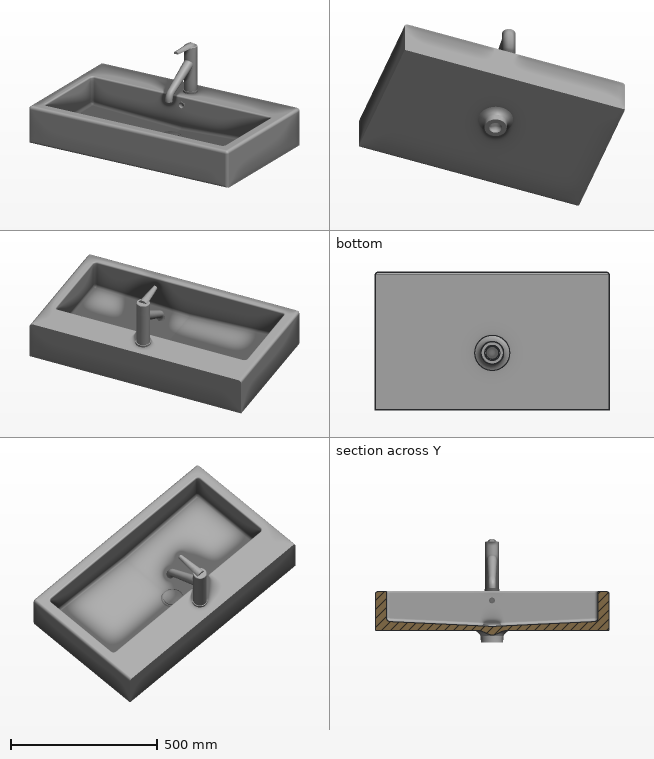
import cadquery as cq
import math


WIDTH = 800.0
DEPTH = 470.0
HEIGHT = 135.0
EDGE_RADIUS = 10.0
BOTTOM_RADIUS = 8.0

BOWL_WIDTH = 720.0
BOWL_DEPTH = 310.0
BOWL_BACK_Y = -120.0
FLOOR_Z = 16.0
FLOOR_SLOPE = math.radians(2.7)
BOWL_CORNER_RADIUS = 10.0
FLOOR_RADIUS = 10.0
RIM_RADIUS = 6.0

COLLAR_DROP = 41.0
COLLAR_SEAM_Z = -18.0
COLLAR_TOP_DIAMETER = 120.0
COLLAR_DIAMETER = 78.0
COLLAR_FLARE_POINT = (47.0, -7.0)
COLLAR_END_DIAMETER = 76.0

DRAIN_Y = -194.0
DRAIN_HOLE_DIAMETER = 52.0
DRAIN_BORE_DIAMETER = 44.0
FLANGE_DIAMETER = 77.0
FLANGE_TOP_DIAMETER = 69.0
FLANGE_TOP_Z = FLOOR_Z + 2.0
PLUG_DIAMETER = 60.0
PLUG_EDGE = 3.0
PLUG_DOME = 3.0

OVERFLOW_Z = 103.0
OVERFLOW_RING_DIAMETER = 28.0
OVERFLOW_TUBE_DIAMETER = 25.0
OVERFLOW_BORE_DIAMETER = 20.0
OVERFLOW_RING_THICKNESS = 2.0
OVERFLOW_HOLE_DEPTH = 16.0

FAUCET_Y = -62.0
BASE_DIAMETER = 52.0
BASE_HEIGHT = 7.0
COLUMN_DIAMETER = 46.0
COLUMN_TOP_Z = HEIGHT + 128.0
SPOUT_ANGLE = math.radians(30)
SPOUT_ROOT_DIAMETER = 38.0
SPOUT_DIAMETER = 26.0
SPOUT_ROOT_REACH = -10.0
BEND_REACH = 127.0
BEND_Z = HEIGHT + 41.0
BEND_RADIUS = 29.0
SPOUT_END_Z = HEIGHT + 13.0
AERATOR_DIAMETER = 25.0
AERATOR_DROP = 2.0
AERATOR_LENGTH = 6.0
SPOUT_DIRECTION = (0, -math.cos(SPOUT_ANGLE), -math.sin(SPOUT_ANGLE))
BEND_POINT = (0, FAUCET_Y - BEND_REACH, BEND_Z)
SPOUT_END_Y = FAUCET_Y - BEND_REACH - BEND_RADIUS * (1 - math.sin(SPOUT_ANGLE))

HANDLE_TOP_Z = HEIGHT + 169.0
HANDLE_CHAMFER = 2.0
LEVER_HEIGHT = 10.0
LEVER_BACK_Y = FAUCET_Y + 5.0
LEVER_TAPER_Y = FAUCET_Y - 3.0
LEVER_TIP_Y = FAUCET_Y - 95.0
LEVER_ROOT_DIAMETER = 35.0
LEVER_TIP_DIAMETER = 16.0


def cylinder_z(diameter, y, z_low, z_high):
    """Upright cylinder on the middle plane X = 0."""
    return cq.Workplane("XY", origin=(0, y, z_low)).circle(diameter / 2).extrude(z_high - z_low)


def cylinder_y(diameter, z, y_start, length):
    """Cylinder on X = 0 that runs toward the front from y_start."""
    return cq.Workplane("XZ", origin=(0, y_start, z)).circle(diameter / 2).extrude(length)


def turned(points, y):
    """Solid of revolution about the vertical through (0, y), from (radius, z) points."""
    profile = cq.Workplane("XZ", origin=(0, y, 0)).polyline(points).close()
    return profile.revolve(360, (0, 0, 0), (0, 1, 0))


def make_block():
    """Block with rounded front corners and a rounded front lower edge that meet in mitres."""
    block = cq.Workplane("XY").box(WIDTH, DEPTH, HEIGHT, centered=(True, False, False))
    block = block.translate((0, -DEPTH, 0))
    corners = block.faces("<Y").edges("|Z").fillet(EDGE_RADIUS)
    lower_edge = block.faces("<Z").edges("<Y").fillet(BOTTOM_RADIUS)
    return corners.intersect(lower_edge).faces(">Z").edges("not >Y").fillet(EDGE_RADIUS)


def make_bowl():
    """Hollow of the bowl, with a floor that falls from both ends to the middle."""
    half = BOWL_WIDTH / 2
    floor_end_z = FLOOR_Z + half * math.tan(FLOOR_SLOPE)
    section = [(-half, HEIGHT), (-half, floor_end_z), (0, FLOOR_Z), (half, floor_end_z), (half, HEIGHT)]
    bowl = cq.Workplane("XZ", origin=(0, BOWL_BACK_Y, 0)).polyline(section).close().extrude(BOWL_DEPTH)
    bowl = bowl.edges("|Z").fillet(BOWL_CORNER_RADIUS)
    return bowl.edges("not (|Z or >Z or <Z)").fillet(FLOOR_RADIUS)


def make_collar():
    profile = (
        cq.Workplane("XZ", origin=(0, DRAIN_Y, 0))
        .moveTo(0, 0)
        .lineTo(COLLAR_TOP_DIAMETER / 2, 0)
        .threePointArc(COLLAR_FLARE_POINT, (COLLAR_DIAMETER / 2, COLLAR_SEAM_Z))
        .lineTo(COLLAR_END_DIAMETER / 2, -COLLAR_DROP)
        .lineTo(0, -COLLAR_DROP)
        .close()
    )
    return profile.revolve(360, (0, 0, 0), (0, 1, 0))


def make_basin():
    basin = make_block().cut(make_bowl())
    half_width = BOWL_WIDTH / 2 + RIM_RADIUS
    rim = cq.selectors.BoxSelector(
        (-half_width, BOWL_BACK_Y + RIM_RADIUS, HEIGHT - RIM_RADIUS),
        (half_width, BOWL_BACK_Y - BOWL_DEPTH - RIM_RADIUS, HEIGHT + RIM_RADIUS),
    )
    basin = basin.edges(rim).fillet(RIM_RADIUS)
    basin = basin.union(make_collar())
    basin = basin.cut(cylinder_z(FLANGE_DIAMETER, DRAIN_Y, FLOOR_Z, FLANGE_TOP_Z))
    basin = basin.cut(cylinder_z(DRAIN_HOLE_DIAMETER, DRAIN_Y, -COLLAR_DROP, FLANGE_TOP_Z))
    hole_y = BOWL_BACK_Y + OVERFLOW_HOLE_DEPTH
    return basin.cut(cylinder_y(OVERFLOW_TUBE_DIAMETER, OVERFLOW_Z, hole_y, OVERFLOW_HOLE_DEPTH))


def make_drain():
    bore = DRAIN_BORE_DIAMETER / 2
    sleeve = DRAIN_HOLE_DIAMETER / 2
    return turned(
        [
            (bore, -COLLAR_DROP),
            (sleeve, -COLLAR_DROP),
            (sleeve, FLOOR_Z),
            (FLANGE_DIAMETER / 2, FLOOR_Z),
            (FLANGE_TOP_DIAMETER / 2, FLANGE_TOP_Z),
            (bore, FLANGE_TOP_Z),
        ],
        DRAIN_Y,
    )


def make_plug():
    radius = PLUG_DIAMETER / 2
    edge_z = FLANGE_TOP_Z + PLUG_EDGE
    dome_radius = (radius**2 + PLUG_DOME**2) / (2 * PLUG_DOME)
    profile = (
        cq.Workplane("XZ", origin=(0, DRAIN_Y, 0))
        .moveTo(0, FLANGE_TOP_Z)
        .lineTo(radius, FLANGE_TOP_Z)
        .lineTo(radius, edge_z)
        .radiusArc((0, edge_z + PLUG_DOME), -dome_radius)
        .close()
    )
    return profile.revolve(360, (0, 0, 0), (0, 1, 0))


def make_overflow_ring():
    tube_y = BOWL_BACK_Y + OVERFLOW_HOLE_DEPTH
    length = OVERFLOW_HOLE_DEPTH + OVERFLOW_RING_THICKNESS
    ring = cylinder_y(OVERFLOW_RING_DIAMETER, OVERFLOW_Z, BOWL_BACK_Y, OVERFLOW_RING_THICKNESS)
    ring = ring.union(cylinder_y(OVERFLOW_TUBE_DIAMETER, OVERFLOW_Z, tube_y, OVERFLOW_HOLE_DEPTH))
    return ring.cut(cylinder_y(OVERFLOW_BORE_DIAMETER, OVERFLOW_Z, tube_y, length))


def make_spout():
    """Tapered arm, then a bend that turns it straight down."""
    length = (BEND_REACH - SPOUT_ROOT_REACH) / math.cos(SPOUT_ANGLE)
    root = cq.Vector(*BEND_POINT) - cq.Vector(*SPOUT_DIRECTION) * length
    arm = cq.Workplane(
        cq.Solid.makeCone(
            SPOUT_ROOT_DIAMETER / 2, SPOUT_DIAMETER / 2, length, root, cq.Vector(*SPOUT_DIRECTION)
        )
    )
    pivot_y = SPOUT_END_Y + BEND_RADIUS
    pivot_z = BEND_Z - BEND_RADIUS * math.cos(SPOUT_ANGLE)
    half_turn = (math.pi / 2 - SPOUT_ANGLE) / 2
    bend_middle = (
        0,
        pivot_y - BEND_RADIUS * math.cos(half_turn),
        pivot_z + BEND_RADIUS * math.sin(half_turn),
    )
    bend_path = cq.Edge.makeThreePointArc(
        cq.Vector(*BEND_POINT), cq.Vector(*bend_middle), cq.Vector(0, SPOUT_END_Y, pivot_z)
    )
    bend_plane = cq.Plane(origin=BEND_POINT, xDir=(1, 0, 0), normal=SPOUT_DIRECTION)
    bend = cq.Workplane(bend_plane).circle(SPOUT_DIAMETER / 2).sweep(cq.Workplane(bend_path))
    outlet = cylinder_z(SPOUT_DIAMETER, SPOUT_END_Y, SPOUT_END_Z, pivot_z)
    return arm.union(bend).union(outlet)


def make_faucet():
    faucet = cylinder_z(BASE_DIAMETER, FAUCET_Y, HEIGHT, HEIGHT + BASE_HEIGHT)
    faucet = faucet.union(cylinder_z(COLUMN_DIAMETER, FAUCET_Y, HEIGHT, COLUMN_TOP_Z))
    faucet = faucet.union(make_spout())
    above_column = cylinder_z(2 * COLUMN_DIAMETER, FAUCET_Y, COLUMN_TOP_Z, HANDLE_TOP_Z)
    socket = cylinder_z(AERATOR_DIAMETER, SPOUT_END_Y, SPOUT_END_Z, SPOUT_END_Z + AERATOR_LENGTH)
    return faucet.cut(above_column).cut(socket)


def make_aerator():
    low = SPOUT_END_Z - AERATOR_DROP
    return cylinder_z(AERATOR_DIAMETER, SPOUT_END_Y, low, SPOUT_END_Z + AERATOR_LENGTH)


def make_lever():
    """Round bar that narrows to the tip under a level top line, flat underneath."""
    top_z = HANDLE_TOP_Z + LEVER_HEIGHT
    root_z = top_z - LEVER_ROOT_DIAMETER / 2
    tip_z = top_z - LEVER_TIP_DIAMETER / 2
    lever = cylinder_y(LEVER_ROOT_DIAMETER, root_z, LEVER_BACK_Y, LEVER_BACK_Y - LEVER_TAPER_Y)
    taper = (
        cq.Workplane("XZ", origin=(0, LEVER_TAPER_Y, root_z))
        .circle(LEVER_ROOT_DIAMETER / 2)
        .workplane(offset=LEVER_TAPER_Y - LEVER_TIP_Y)
        .center(0, tip_z - root_z)
        .circle(LEVER_TIP_DIAMETER / 2)
        .loft(ruled=True)
    )
    lever_length = LEVER_BACK_Y - LEVER_TIP_Y
    below = cylinder_z(2 * lever_length, LEVER_TIP_Y, HANDLE_TOP_Z - LEVER_ROOT_DIAMETER, HANDLE_TOP_Z)
    below = below.translate((0, lever_length / 2, 0))
    return lever.union(taper).cut(below)


def make_handle():
    cap = cylinder_z(COLUMN_DIAMETER, FAUCET_Y, COLUMN_TOP_Z, HANDLE_TOP_Z)
    cap = cap.faces(">Z").chamfer(HANDLE_CHAMFER)
    return cap.union(make_lever())


basin = make_basin()
drain = make_drain()
plug = make_plug()
overflow_ring = make_overflow_ring()
faucet = make_faucet()
aerator = make_aerator()
handle = make_handle()

result = cq.Compound.makeCompound(
    [
        basin.val(),
        drain.val(),
        plug.val(),
        overflow_ring.val(),
        faucet.val(),
        aerator.val(),
        handle.val(),
    ]
)